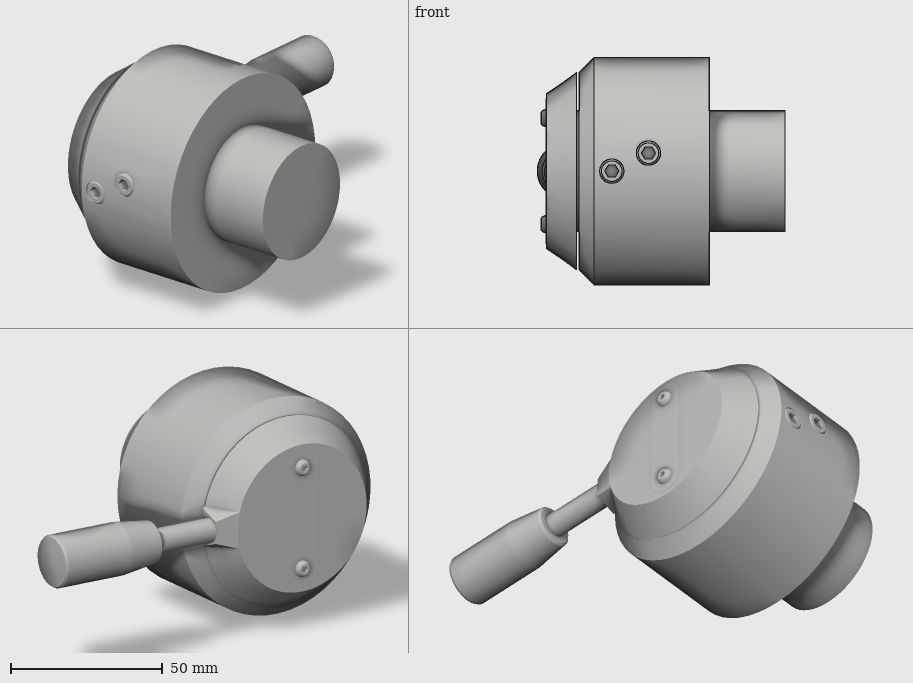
import cadquery as cq
import math

drum_radius = 37.5
drum_length = 43.0
drum_chamfer = 5.0
shaft_radius = 20.0
shaft_length = 25.0
groove_width = 0.79
disc_thickness = 10.0
disc_rear_radius = drum_radius - drum_chamfer
disc_front_radius = 25.5
drum_front_x = -drum_length
disc_rear_x = drum_front_x - groove_width
disc_front_x = disc_rear_x - disc_thickness

boss_top_y = 32.7
boss_top_front_x = disc_front_x + 2.2
boss_top_front_half_width = 3.8
boss_top_rear_half_width = 6.6
boss_base_front_half_width = 6.35
boss_base_rear_half_width = 9.4

plate_width = 12.3
plate_height = 47.6
plate_thickness = 0.1
plate_face_x = disc_front_x - plate_thickness

plate_screw_spacing = 35.0
head_radius = 2.85
head_top_radius = 1.9
head_height = 1.65
head_bulge = 0.15
plate_screw_socket = 2.0
plate_screw_socket_depth = 1.0
shank_radius = 1.5
shank_length = 6.0

set_screw_places = [(-32.2, 0.0), (-20.1, 5.95)]
set_screw_radius = 4.0
set_screw_length = 10.0
set_screw_chamfer = 0.6
set_screw_socket = 4.0
set_screw_socket_depth = 4.0
set_screw_end_y = -drum_radius

lever_axis_x = disc_rear_x - 4.0
rod_radius = 4.1
grip_radius = 9.0
grip_neck_radius = 7.3
grip_neck_chamfer = 0.7
grip_start_y = 55.5
grip_taper_end_y = 69.0
grip_shoulder_y = 94.2
grip_rim_radius = 8.5
grip_rim_y = 95.0
grip_end_y = 95.83


def hexagon_diameter(across_flats):
    """Corner-to-corner size of a hexagon."""
    return across_flats / math.cos(math.pi / 6)


def make_turned_body():
    """Shaft, chamfered drum, neck groove and conical disc in one revolve."""
    profile = [
        (shaft_length, 0),
        (shaft_length, shaft_radius),
        (0, shaft_radius),
        (0, drum_radius),
        (drum_front_x + drum_chamfer, drum_radius),
        (drum_front_x, drum_radius - drum_chamfer),
        (drum_front_x, shaft_radius),
        (disc_rear_x, shaft_radius),
        (disc_rear_x, disc_rear_radius),
        (disc_front_x, disc_front_radius),
        (disc_front_x, 0),
    ]
    return cq.Workplane("XY").polyline(profile).close().revolve(360, (0, 0, 0), (1, 0, 0))


def boss_section(y, front_x, front_half_width, rear_half_width):
    """Trapezoid wire at height y, narrow at the disc face and wide at the disc rear."""
    corners = [
        cq.Vector(front_x, y, -front_half_width),
        cq.Vector(disc_rear_x, y, -rear_half_width),
        cq.Vector(disc_rear_x, y, rear_half_width),
        cq.Vector(front_x, y, front_half_width),
    ]
    return cq.Wire.makePolygon(corners, close=True)


def make_lever_boss():
    base_y = math.sqrt(disc_front_radius**2 - boss_base_front_half_width**2)
    base = boss_section(base_y, disc_front_x, boss_base_front_half_width, boss_base_rear_half_width)
    top = boss_section(boss_top_y, boss_top_front_x, boss_top_front_half_width, boss_top_rear_half_width)
    return cq.Workplane(cq.Solid.makeLoft([base, top], True))


def make_name_plate():
    return (
        cq.Workplane("YZ", origin=(disc_front_x, 0, 0))
        .slot2D(plate_height, plate_width, 90)
        .extrude(-plate_thickness)
    )


def make_plate_screw(z):
    """Button head screw along X, its head seated on the plate."""
    head_top_x = plate_face_x - head_height
    bulge_point = (
        (plate_face_x + head_top_x) / 2 - head_bulge,
        (head_radius + head_top_radius) / 2 + head_bulge,
    )
    shank_end_x = plate_face_x + shank_length
    screw = (
        cq.Workplane("XY", origin=(0, 0, z))
        .moveTo(head_top_x, 0)
        .lineTo(head_top_x, head_top_radius)
        .threePointArc(bulge_point, (plate_face_x, head_radius))
        .lineTo(plate_face_x, shank_radius)
        .lineTo(shank_end_x, shank_radius)
        .lineTo(shank_end_x, 0)
        .close()
        .revolve(360, (0, 0, 0), (1, 0, 0))
    )
    socket = (
        cq.Workplane("YZ", origin=(head_top_x, 0, z))
        .polygon(6, hexagon_diameter(plate_screw_socket))
        .extrude(plate_screw_socket_depth)
    )
    return screw.cut(socket)


def make_plate_screw_hole(z):
    return cq.Workplane("YZ", origin=(plate_face_x, 0, z)).circle(shank_radius).extrude(shank_length)


def make_set_screw_hole(x, z):
    """Cylinder that the set screw at (x, z) fills."""
    return (
        cq.Workplane("XZ", origin=(x, set_screw_end_y, z))
        .circle(set_screw_radius)
        .extrude(-set_screw_length)
    )


def make_set_screw(x, z):
    """Set screw with a chamfered outer end and a hexagon socket."""
    socket = (
        cq.Workplane("XZ", origin=(x, set_screw_end_y, z))
        .polygon(6, hexagon_diameter(set_screw_socket))
        .extrude(-set_screw_socket_depth)
    )
    return make_set_screw_hole(x, z).faces("<Y").chamfer(set_screw_chamfer).cut(socket)


def make_lever():
    """Rod standing on the boss, with a tapered grip that ends in a shallow dome."""
    dome_height = grip_end_y - grip_rim_y
    dome_radius = (grip_rim_radius**2 + dome_height**2) / (2 * dome_height)
    dome_mid_r = grip_rim_radius / 2
    dome_mid_y = grip_end_y - dome_radius + math.sqrt(dome_radius**2 - dome_mid_r**2)
    return (
        cq.Workplane("XY", origin=(lever_axis_x, 0, 0))
        .moveTo(0, boss_top_y)
        .lineTo(rod_radius, boss_top_y)
        .lineTo(rod_radius, grip_start_y)
        .lineTo(grip_neck_radius - grip_neck_chamfer, grip_start_y)
        .lineTo(grip_neck_radius, grip_start_y + grip_neck_chamfer)
        .lineTo(grip_radius, grip_taper_end_y)
        .lineTo(grip_radius, grip_shoulder_y)
        .lineTo(grip_rim_radius, grip_rim_y)
        .threePointArc((dome_mid_r, dome_mid_y), (0, grip_end_y))
        .close()
        .revolve(360, (0, 0, 0), (0, 1, 0))
    )


plate_screw_heights = [-plate_screw_spacing / 2, plate_screw_spacing / 2]

main_body = make_turned_body().union(make_lever_boss()).union(make_name_plate())
for z in plate_screw_heights:
    main_body = main_body.cut(make_plate_screw_hole(z))
for x, z in set_screw_places:
    main_body = main_body.cut(make_set_screw_hole(x, z))

lever = make_lever()
plate_screws = [make_plate_screw(z) for z in plate_screw_heights]
set_screws = [make_set_screw(x, z) for x, z in set_screw_places]

result = cq.Compound.makeCompound(
    [
        main_body.val(),
        lever.val(),
        *[screw.val() for screw in plate_screws],
        *[screw.val() for screw in set_screws],
    ]
)